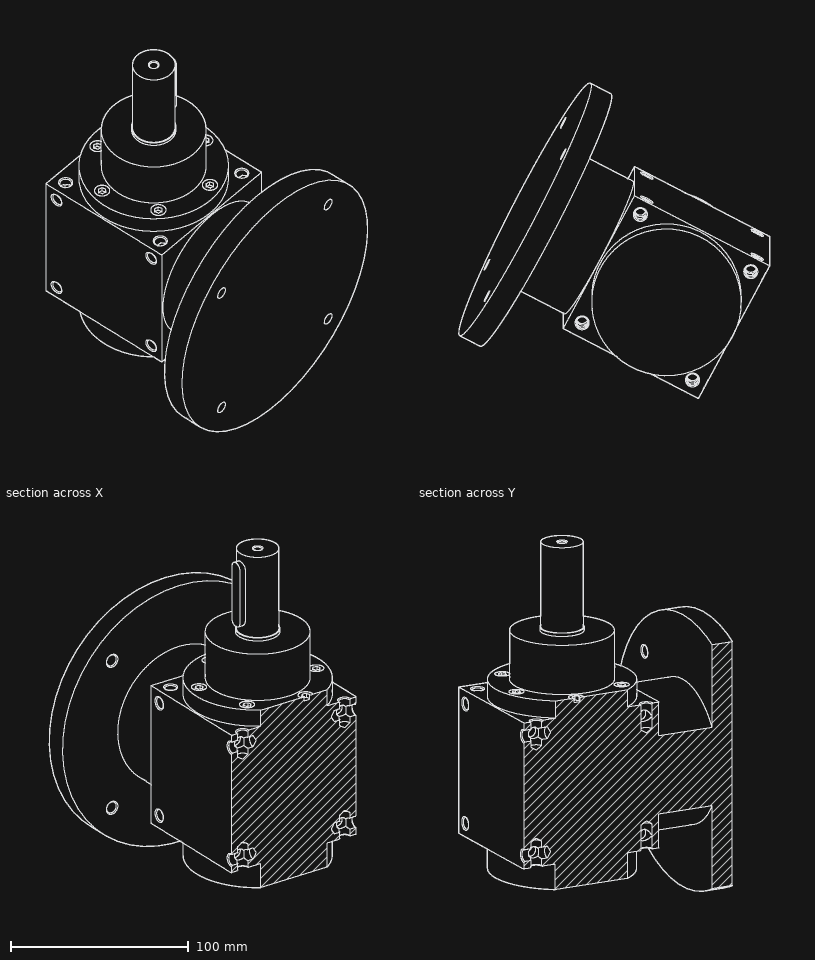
import cadquery as cq
import math


block_side = 86.0
overall_length = 133.0
drum_diameter = 84.0
bottom_drum_height = 15.0
cover_thickness = 10.0
boss_diameter = 59.0
boss_height = 28.9
flange_diameter = 160.0
flange_thickness = 13.0
neck_length = overall_length - block_side - flange_thickness

mount_hole_diameter = 6.6
mount_hole_depth = 15.0
mount_hole_chamfer = 0.6
mount_hole_pitch = 70.2
flange_hole_diameter = 6.6
flange_hole_chamfer = 0.6
flange_hole_circle = 130.0
drill_tip_angle = 118.0

screw_count = 6
screw_head_diameter = 8.5
screw_circle_diameter = 70.2
first_screw_angle = 15.0
screw_head_sink = 0.1
socket_across_flats = 4.0
socket_depth = 2.5

collar_diameter = 25.0
collar_height = 2.0
shaft_diameter = 24.0
shaft_length = 50.0
center_hole_diameter = 5.0
center_hole_depth = 10.0
center_hole_chamfer = 0.54
key_width = 8.0
key_length = 40.0
key_height = 7.0
key_projection = 3.0
key_end_gap = 5.0

half_block = block_side / 2
cover_top = half_block + cover_thickness
boss_top = cover_top + boss_height
collar_top = boss_top + collar_height
shaft_top = collar_top + shaft_length
flange_inner_face = half_block + neck_length


def cylinder(diameter, height, base, axis=(0, 0, 1)):
    """Solid cylinder that grows from the base point along the axis."""
    return cq.Workplane(cq.Solid.makeCylinder(diameter / 2, height, cq.Vector(*base), cq.Vector(*axis)))


def countersink(hole_diameter, chamfer, mouth, axis):
    """Cutter for the 45-degree chamfer around the mouth of a hole."""
    hole_radius = hole_diameter / 2
    cone = cq.Solid.makeCone(hole_radius + chamfer, hole_radius, chamfer, cq.Vector(*mouth), cq.Vector(*axis))
    return cq.Workplane(cone)


def drilled_hole(diameter, depth, chamfer, mouth, axis):
    """Cutter for a chamfered blind hole that goes from its mouth along the axis to a conical drill tip."""
    direction = cq.Vector(*axis)
    tip_height = diameter / 2 / math.tan(math.radians(drill_tip_angle / 2))
    tip_base = cq.Vector(*mouth) + direction * depth
    tip = cq.Solid.makeCone(diameter / 2, 0, tip_height, tip_base, direction)
    hole = cylinder(diameter, depth, mouth, axis).union(cq.Workplane(tip))
    return hole.union(countersink(diameter, chamfer, mouth, axis))


def square_corners(pitch):
    """Four corner points of a centred square."""
    half = pitch / 2
    return [(a, b) for a in (-half, half) for b in (-half, half)]


def make_housing_shape():
    """Block with its bottom drum, cover, boss, neck and flange, before the holes."""
    shape = cq.Workplane().box(block_side, block_side, block_side)
    shape = shape.union(cylinder(drum_diameter, bottom_drum_height, (0, 0, -half_block), (0, 0, -1)))
    shape = shape.union(cylinder(drum_diameter, cover_thickness, (0, 0, half_block)))
    shape = shape.union(cylinder(boss_diameter, boss_height, (0, 0, cover_top)))
    shape = shape.union(cylinder(drum_diameter, neck_length, (half_block, 0, 0), (1, 0, 0)))
    return shape.union(cylinder(flange_diameter, flange_thickness, (flange_inner_face, 0, 0), (1, 0, 0)))


def cut_mount_holes(housing):
    """Four blind corner holes in each of the -X, -Y, +Y, +Z and -Z faces of the block."""
    for a, b in square_corners(mount_hole_pitch):
        openings = [
            ((-half_block, a, b), (1, 0, 0)),
            ((a, -half_block, b), (0, 1, 0)),
            ((a, half_block, b), (0, -1, 0)),
            ((a, b, half_block), (0, 0, -1)),
            ((a, b, -half_block), (0, 0, 1)),
        ]
        for mouth, axis in openings:
            hole = drilled_hole(mount_hole_diameter, mount_hole_depth, mount_hole_chamfer, mouth, axis)
            housing = housing.cut(hole)
    return housing


def cut_flange_holes(housing):
    """Four through holes at the corners of a square, chamfered on the flange's -X face."""
    for y, z in square_corners(flange_hole_circle / math.sqrt(2)):
        mouth = (flange_inner_face, y, z)
        hole = cylinder(flange_hole_diameter, flange_thickness, mouth, (1, 0, 0))
        housing = housing.cut(hole)
        housing = housing.cut(countersink(flange_hole_diameter, flange_hole_chamfer, mouth, (1, 0, 0)))
    return housing


def cut_cover_screws(housing):
    """Ring of slightly sunk screw heads, each with a hexagonal socket that has a corner facing outward."""
    socket_corner_diameter = socket_across_flats / math.cos(math.pi / 6)
    screw_centers = cq.Workplane("XY", origin=(0, 0, cover_top)).polarArray(
        screw_circle_diameter / 2, first_screw_angle, 360, screw_count
    )
    head_recesses = screw_centers.circle(screw_head_diameter / 2).extrude(-screw_head_sink)
    sockets = screw_centers.polygon(6, socket_corner_diameter).extrude(-socket_depth)
    return housing.cut(head_recesses).cut(sockets)


def make_housing():
    housing = make_housing_shape()
    housing = cut_mount_holes(housing)
    housing = cut_flange_holes(housing)
    return cut_cover_screws(housing)


def make_key():
    """Round-ended key that lies along the shaft on its +Y side."""
    key_outer_y = shaft_diameter / 2 + key_projection
    key_middle_z = shaft_top - key_end_gap - key_length / 2
    return (
        cq.Workplane("XZ", origin=(0, key_outer_y, key_middle_z))
        .slot2D(key_length, key_width, 90)
        .extrude(key_height)
    )


def make_shaft(key):
    """Shaft that stands on the boss, with a collar, a centre hole and the seat of its key."""
    shaft = cylinder(collar_diameter, collar_height, (0, 0, boss_top))
    shaft = shaft.union(cylinder(shaft_diameter, shaft_length, (0, 0, collar_top)))
    shaft_end = (0, 0, shaft_top)
    center_hole = drilled_hole(
        center_hole_diameter, center_hole_depth, center_hole_chamfer, shaft_end, (0, 0, -1)
    )
    shaft = shaft.cut(center_hole)
    return shaft.cut(key)


housing = make_housing()
key = make_key()
shaft = make_shaft(key)

result = cq.Compound.makeCompound([housing.val(), shaft.val(), key.val()])